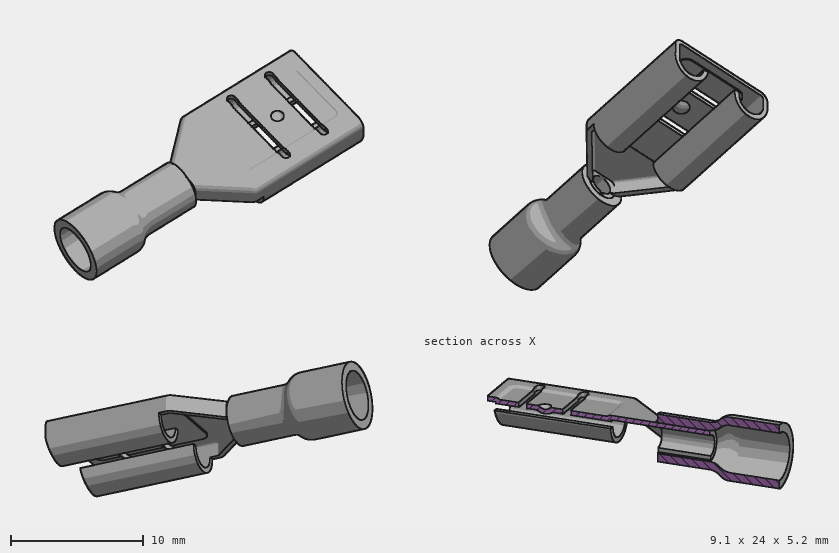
import cadquery as cq
import math


TOTAL_LENGTH = 24.0
SHEET = 0.4

BARREL_DIAMETER = 2.5
BARREL_BORE = BARREL_DIAMETER - 2 * SHEET
SEAM_WIDTH = 0.2
SEAM_ROUNDING = 0.15

WIDTH = 9.1
HALF_WIDTH = WIDTH / 2
TOP_Z = BARREL_DIAMETER / 2
FLANGE_Z = -0.34
BEND_RADIUS = 0.7
CORNER_Y = 13.58
TAPER_END_Y = 10.22
TAPER_END_HALF_WIDTH = 1.6
TAPER_ANGLE = math.atan2(HALF_WIDTH - TAPER_END_HALF_WIDTH, CORNER_Y - TAPER_END_Y)

CURL_RADIUS = 1.6
CURL_Z = -0.4
CURL_FRONT_Y = 14.45
CURL_TRIM = 0.3
CURL_X = HALF_WIDTH - CURL_RADIUS

PANEL_WIDTH = 6.05
PANEL_BACK_Y = 23.33
PANEL_FRONT_Y = 13.85
PANEL_DEPTH = 0.12
PANEL_CORNER_RADIUS = 0.72
PANEL_RIM_RADIUS = 0.5
PANEL_FLOOR_RADIUS = 0.1
PANEL_LENGTH = PANEL_BACK_Y - PANEL_FRONT_Y
PANEL_Y = (PANEL_BACK_Y + PANEL_FRONT_Y) / 2
PANEL_Z = TOP_Z - PANEL_DEPTH

SLOT_LENGTH = 7.37
SLOT_WIDTH = 0.65
SLOT_SPACING = 3.62
DIMPLE_Y = 19.3
DIMPLE_DIAMETER = 0.98
DIMPLE_DEPTH = 0.22
DIMPLE_RADIUS = ((DIMPLE_DIAMETER / 2) ** 2 + DIMPLE_DEPTH ** 2) / (2 * DIMPLE_DEPTH)

SLEEVE_BACK_Y = 10.03
STEP_BACK_Y = 5.7
STEP_FRONT_Y = 4.13
SLEEVE_SMALL_DIAMETER = 3.9
SLEEVE_LARGE_DIAMETER = 5.2
SLEEVE_WIRE_BORE = 3.8


def cross_section(y):
    """Workplane at the given Y, with local x along X and local y along Z."""
    return cq.Workplane("XZ", origin=(0, y, 0))


def roof_block(inset):
    """Solid tapered block with rounded top edges, its skin moved inward by `inset`."""
    half_width = HALF_WIDTH - inset
    end_half_width = TAPER_END_HALF_WIDTH - inset / math.cos(TAPER_ANGLE)
    corner_y = TAPER_END_Y + (half_width - end_half_width) / math.tan(TAPER_ANGLE)
    block = (
        cq.Workplane("XY", origin=(0, 0, FLANGE_Z))
        .polyline([
            (half_width, TOTAL_LENGTH),
            (half_width, corner_y),
            (end_half_width, TAPER_END_Y),
            (-end_half_width, TAPER_END_Y),
            (-half_width, corner_y),
            (-half_width, TOTAL_LENGTH),
        ])
        .close()
        .extrude(TOP_Z - inset - FLANGE_Z)
    )
    corner_edges = block.edges("|Z and (not <Y) and (not >Y)")
    top_edges = block.faces(">Z").edges("not |X")
    return corner_edges.add(top_edges).fillet(BEND_RADIUS - inset)


def rounded_panel(shrink, top_z, thickness):
    """Rounded plate on the panel centre, smaller than the panel by `shrink` on every side."""
    return (
        cq.Workplane("XY", origin=(0, PANEL_Y, top_z))
        .rect(PANEL_WIDTH - 2 * shrink, PANEL_LENGTH - 2 * shrink)
        .extrude(-thickness)
        .edges("|Z").fillet(PANEL_CORNER_RADIUS - shrink)
    )


def roof():
    """Bent sheet with a shallow panel that is sunk into its top and bulges below it."""
    pocket = rounded_panel(PANEL_RIM_RADIUS, TOP_Z, PANEL_RIM_RADIUS + PANEL_DEPTH)
    rim = cq.selectors.BoxSelector(
        (-PANEL_WIDTH / 2, PANEL_FRONT_Y, PANEL_Z), (PANEL_WIDTH / 2, PANEL_BACK_Y, TOP_Z + SHEET)
    )
    skin = roof_block(0).cut(pocket).edges(rim).fillet(PANEL_RIM_RADIUS)
    sheet = skin.cut(roof_block(SHEET)).union(rounded_panel(0, PANEL_Z, SHEET))
    floor_edges = sheet.faces(cq.selectors.NearestToPointSelector((0, PANEL_Y, PANEL_Z))).edges()
    return floor_edges.fillet(PANEL_FLOOR_RADIUS)


def curl(side):
    """Half-round curled edge, with its back end cut on a slant; `side` is -1 or 1."""
    length = TOTAL_LENGTH - CURL_FRONT_Y
    inner_radius = CURL_RADIUS - SHEET
    lowest_z = CURL_Z - CURL_RADIUS
    strip = (
        cross_section(TOTAL_LENGTH)
        .moveTo(-CURL_RADIUS, FLANGE_Z)
        .lineTo(-CURL_RADIUS, CURL_Z)
        .threePointArc((0, lowest_z), (CURL_RADIUS, CURL_Z))
        .lineTo(inner_radius, CURL_Z)
        .threePointArc((0, CURL_Z - inner_radius), (-inner_radius, CURL_Z))
        .lineTo(-inner_radius, FLANGE_Z)
        .close()
        .extrude(length)
    )
    trim = (
        cq.Workplane("YZ")
        .polyline([
            (TOTAL_LENGTH, CURL_Z),
            (TOTAL_LENGTH, lowest_z),
            (TOTAL_LENGTH - CURL_TRIM, lowest_z),
        ])
        .close()
        .extrude(CURL_RADIUS, both=True)
    )
    strip = strip.cut(trim)
    if side > 0:
        strip = strip.mirror("YZ")
    return strip.translate((side * CURL_X, 0, 0))


def neck_block(inset):
    """Solid transition from the flat taper end to the round barrel, moved inward by `inset`."""
    half_width = TAPER_END_HALF_WIDTH - inset / math.cos(TAPER_ANGLE)
    top_z = TOP_Z - inset
    bend = BEND_RADIUS - inset
    mid_bend = bend * (1 - math.sqrt(0.5))
    barrel_radius = BARREL_DIAMETER / 2 - inset
    barrel_half_width = math.sqrt(barrel_radius ** 2 - FLANGE_Z ** 2)
    return (
        cross_section(TAPER_END_Y)
        .moveTo(-half_width, FLANGE_Z)
        .lineTo(-half_width, top_z - bend)
        .threePointArc((-half_width + mid_bend, top_z - mid_bend), (-half_width + bend, top_z))
        .lineTo(half_width - bend, top_z)
        .threePointArc((half_width - mid_bend, top_z - mid_bend), (half_width, top_z - bend))
        .lineTo(half_width, FLANGE_Z)
        .close()
        .workplane(offset=TAPER_END_Y - SLEEVE_BACK_Y)
        .moveTo(-barrel_half_width, FLANGE_Z)
        .threePointArc((0, barrel_radius), (barrel_half_width, FLANGE_Z))
        .close()
        .loft(ruled=True)
    )


def barrel():
    """Rolled crimp barrel with an open seam along its underside."""
    length = SLEEVE_BACK_Y - STEP_BACK_Y
    radius = BARREL_DIAMETER / 2
    seam = (
        cross_section(SLEEVE_BACK_Y)
        .center(0, -radius)
        .rect(SEAM_WIDTH, radius)
        .extrude(length)
    )
    tube = cross_section(SLEEVE_BACK_Y).circle(radius).circle(BARREL_BORE / 2).extrude(length).cut(seam)
    seam_edges = cq.selectors.BoxSelector(
        (-SEAM_WIDTH, 0, -radius - SHEET), (SEAM_WIDTH, TOTAL_LENGTH, -radius + SHEET / 2)
    )
    return tube.edges("|Y").edges(seam_edges).fillet(SEAM_ROUNDING)


def slots():
    """Two crosswise slots through the pressed panel."""
    return (
        cq.Workplane("XY", origin=(0, DIMPLE_Y, TOP_Z))
        .rarray(0.25, SLOT_SPACING, 1, 2)
        .slot2D(SLOT_LENGTH, SLOT_WIDTH)
        .extrude(-PANEL_DEPTH - SHEET)
    )


def dimple_sphere(radius):
    """Sphere on the shared centre of the dimple's two faces."""
    centre_z = PANEL_Z - DIMPLE_DEPTH + DIMPLE_RADIUS
    return cq.Workplane("XY", origin=(0, DIMPLE_Y, centre_z)).sphere(radius)


def build_terminal():
    """One-piece terminal: bent sheet, curled edges, neck, barrel, dimple and slots."""
    terminal = roof()
    for side in (-1, 1):
        terminal = terminal.union(curl(side))
    terminal = terminal.union(neck_block(0).cut(neck_block(SHEET))).union(barrel())

    dimple_space = (
        cq.Workplane("XY", origin=(0, DIMPLE_Y, PANEL_Z))
        .circle(DIMPLE_DIAMETER)
        .extrude(-DIMPLE_DEPTH - SHEET)
    )
    bump = dimple_sphere(DIMPLE_RADIUS + SHEET).intersect(dimple_space)
    return terminal.union(bump).cut(dimple_sphere(DIMPLE_RADIUS)).cut(slots())


def revolved_step(wide_diameter, narrow_diameter):
    """Solid cylinder over the sleeve length, narrowed by an S-shaped step of two equal arcs."""
    wide_radius = wide_diameter / 2
    narrow_radius = narrow_diameter / 2
    half_drop = (wide_radius - narrow_radius) / 2
    half_length = (STEP_BACK_Y - STEP_FRONT_Y) / 2
    return (
        cq.Workplane("XY")
        .lineTo(wide_radius, 0)
        .lineTo(wide_radius, STEP_FRONT_Y)
        .tangentArcPoint((-half_drop, half_length))
        .tangentArcPoint((-half_drop, half_length))
        .lineTo(narrow_radius, SLEEVE_BACK_Y)
        .lineTo(0, SLEEVE_BACK_Y)
        .close()
        .revolve(360, (0, 0, 0), (0, 1, 0))
    )


def build_sleeve():
    """Insulating sleeve whose bore fits the barrel and widens at the wire entry."""
    outside = revolved_step(SLEEVE_LARGE_DIAMETER, SLEEVE_SMALL_DIAMETER)
    return outside.cut(revolved_step(SLEEVE_WIRE_BORE, BARREL_DIAMETER))


terminal = build_terminal()
sleeve = build_sleeve()
result = cq.Compound.makeCompound([terminal.solids().val(), sleeve.val()])